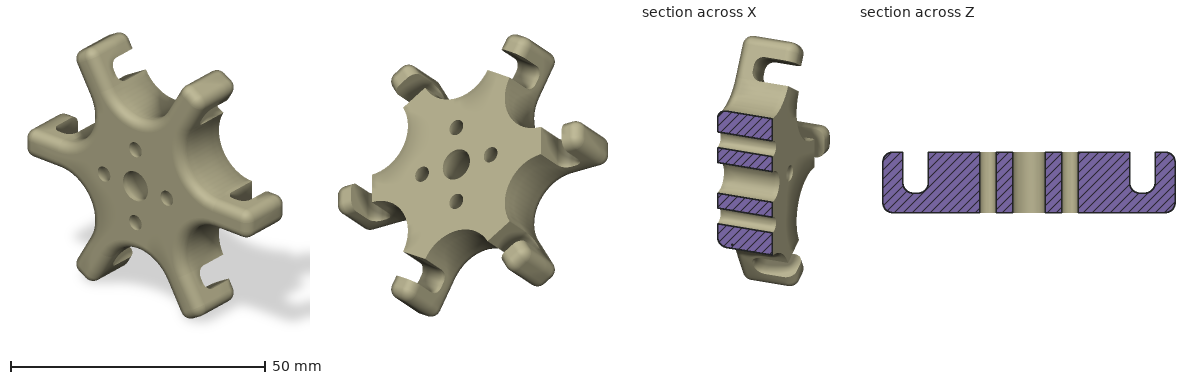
import cadquery as cq
import math

arm_count = 6
arm_reach = 28.8
arm_width = 6.0
thickness = 12.0
edge_radius = 2.0

scallop_end = 19.9

notch_width = 4.9
notch_depth = 8.05
notch_corner_radius = 1.95

center_hole_diameter = 6.4
bolt_hole_diameter = 3.2
bolt_circle_radius = 8.05
bolt_count = 4

tolerance = 0.005

arm_step = 360 / arm_count
half_width = arm_width / 2
half_step = math.radians(arm_step / 2)
scallop_center_distance = scallop_end / math.cos(half_step)
scallop_radius = scallop_center_distance * math.sin(half_step) - half_width
scallop_floor = scallop_center_distance - scallop_radius


def turned(along, across, angle):
    """Point given along and across an arm direction, turned to that arm's angle in degrees."""
    a = math.radians(angle)
    return (
        along * math.cos(a) - across * math.sin(a),
        along * math.sin(a) + across * math.cos(a),
    )


def star_plate():
    outline = cq.Workplane("XZ").moveTo(*turned(scallop_end, -half_width, 0))
    for i in range(arm_count):
        angle = i * arm_step
        next_angle = angle + arm_step
        outline = (
            outline.lineTo(*turned(arm_reach, -half_width, angle))
            .lineTo(*turned(arm_reach, half_width, angle))
            .lineTo(*turned(scallop_end, half_width, angle))
            .threePointArc(
                turned(scallop_floor, 0, angle + arm_step / 2),
                turned(scallop_end, -half_width, next_angle),
            )
        )
    return outline.close().extrude(-thickness)


def arm_notch():
    return (
        cq.Workplane("XY")
        .box(notch_width, notch_depth, arm_width, centered=(False, False, True))
        .edges("|Z and <Y")
        .fillet(notch_corner_radius)
        .translate((scallop_end, thickness - notch_depth, 0))
    )


def is_rounded(edge):
    """True for front rim edges, tip corner edges, and the outer back edges of the hooks."""
    middle = edge.Center()
    if middle.y < tolerance:
        return True
    start = edge.startPoint()
    end = edge.endPoint()
    inner_distance = min(math.hypot(p.x, p.z) for p in (start, end))
    outer_distance = max(math.hypot(p.x, p.z) for p in (start, end))
    tip_corner_distance = math.hypot(arm_reach, half_width)
    touches_tip = outer_distance > tip_corner_distance - tolerance
    return touches_tip and inner_distance > scallop_end + notch_width


plate = star_plate()
for i in range(arm_count):
    plate = plate.cut(arm_notch().rotate((0, 0, 0), (0, 1, 0), i * arm_step))

rounded_edges = [edge for edge in plate.edges().vals() if is_rounded(edge)]
plate = plate.newObject(rounded_edges).fillet(edge_radius)

holes = (
    cq.Workplane("XZ")
    .circle(center_hole_diameter / 2)
    .polarArray(bolt_circle_radius, 0, 360, bolt_count)
    .circle(bolt_hole_diameter / 2)
    .extrude(-thickness)
)

result = plate.cut(holes)